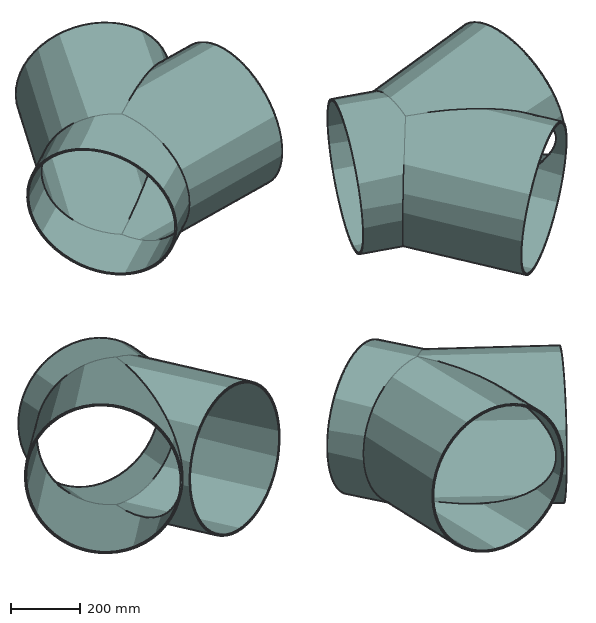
import cadquery as cq
import math

outer_diameter = 457.0
inner_diameter = 447.5
inlet_length = 178.5
overall_width = 815.0
branch_angle = 30.0

angle = math.radians(branch_angle)
branch_length = (overall_width / 2 - outer_diameter / 2 * math.cos(angle)) / math.sin(angle)

reach = 2 * (inlet_length + branch_length)
miter_drop = reach * math.tan(angle / 2)


def prism(points):
    """Vertical prism over an XY outline, centred on Z = 0."""
    return cq.Workplane("XY").polyline(points).close().extrude(reach, both=True)


def pipe_core(diameter, start, end):
    """Solid cylinder along Y between two positions."""
    cylinder = cq.Solid.makeCylinder(
        diameter / 2, end - start, cq.Vector(0, start, 0), cq.Vector(0, 1, 0)
    )
    return cq.Workplane("XY").add(cylinder)


def junction(diameter):
    """Solid Y of three equal cylinders, mitered where they meet."""
    inlet_region = prism([(0, 0), (-reach, -miter_drop), (-reach, -reach),
                          (reach, -reach), (reach, -miter_drop)])
    branch_region = prism([(0, 0), (reach, -miter_drop), (reach, reach), (0, reach)])

    inlet = pipe_core(diameter, -inlet_length, diameter).intersect(inlet_region)
    branch = (
        pipe_core(diameter, -diameter, branch_length)
        .rotate((0, 0, 0), (0, 0, 1), -branch_angle)
        .intersect(branch_region)
    )
    return inlet.union(branch).union(branch.mirror("YZ"))


result = junction(outer_diameter).cut(junction(inner_diameter))